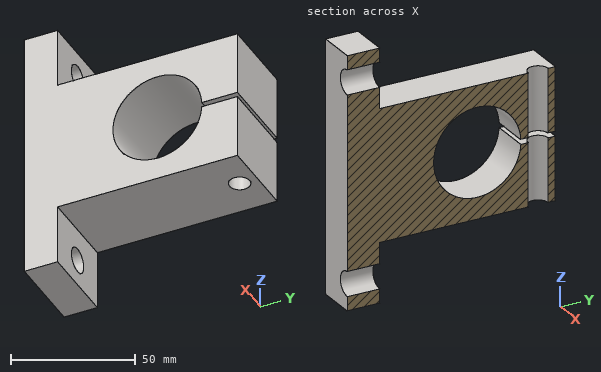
import cadquery as cq

width = 36.0
depth = 96.0
flange_height = 114.0

flange_thickness = 15.0
mount_hole_diameter = 11.1
mount_hole_spacing = 90.0

body_height = 60.0
bore_diameter = 40.0
bore_distance = 60.0
slit_width = 2.0

screw_hole_diameter = 9.0
screw_hole_inset = 8.0

on_mounting_face = (True, False, True)

flange = cq.Workplane("XY").box(width, flange_thickness, flange_height, centered=on_mounting_face)
body = cq.Workplane("XY").box(width, depth, body_height, centered=on_mounting_face)

bore = (
    cq.Workplane("YZ")
    .center(bore_distance, 0)
    .circle(bore_diameter / 2)
    .extrude(width / 2, both=True)
)

slit = (
    cq.Workplane("XY")
    .box(width, depth - bore_distance, slit_width, centered=on_mounting_face)
    .translate((0, bore_distance, 0))
)

screw_hole = (
    cq.Workplane("XY")
    .center(0, depth - screw_hole_inset)
    .circle(screw_hole_diameter / 2)
    .extrude(body_height / 2, both=True)
)

mount_holes = (
    cq.Workplane("XZ")
    .rarray(1.1, mount_hole_spacing, 1, 2)
    .circle(mount_hole_diameter / 2)
    .extrude(-flange_thickness)
)

result = flange.union(body).cut(bore).cut(slit).cut(screw_hole).cut(mount_holes)